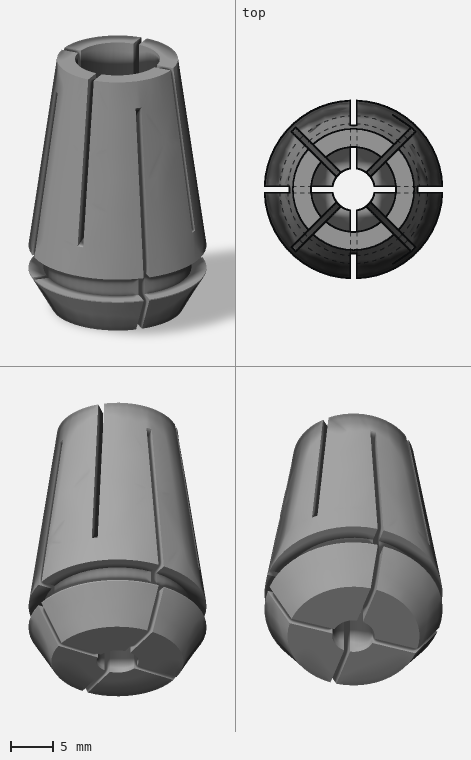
import cadquery as cq
import math

length = 31.5
max_diameter = 21.0
max_radius = max_diameter / 2
taper_angle = 8.0
groove_radius = 8.73
groove_bottom = 4.82
groove_top = 7.65
nose_angle = 30.0
nose_land = 0.13

clamp_radius = 2.5
relief_radius = 5.0
clamp_length = 18.9

slot_width = 0.72
slot_overcut = 0.3
slot_reach = max_radius + slot_overcut
saw_radius = 13.6
nose_saw_offset = 15.85
nose_saw_height = 17.42
back_saw_offset = 12.98
back_saw_height = 24.5
nose_slot_angles = (0.0, 90.0)
back_slot_angles = (45.0, 135.0)


def make_body():
    """Revolve the tapered shank, the groove and the nose cone."""
    top_radius = max_radius - (length - groove_top) * math.tan(math.radians(taper_angle))
    nose_cone_top = groove_bottom - nose_land
    nose_radius = max_radius - nose_cone_top * math.tan(math.radians(nose_angle))
    profile = (
        cq.Workplane("XZ")
        .moveTo(0, 0)
        .lineTo(nose_radius, 0)
        .lineTo(max_radius, nose_cone_top)
        .lineTo(max_radius, groove_bottom)
        .lineTo(groove_radius, groove_bottom)
        .lineTo(groove_radius, groove_top)
        .lineTo(max_radius, groove_top)
        .lineTo(top_radius, length)
        .lineTo(0, length)
        .close()
    )
    return profile.revolve(360, (0, 0, 0), (0, 1, 0))


def make_bore():
    """Stepped through hole along the axis."""
    clamp = cq.Workplane("XY").circle(clamp_radius).extrude(length)
    relief = cq.Workplane("XY").workplane(offset=clamp_length).circle(relief_radius)
    return clamp.union(relief.extrude(length - clamp_length))


def make_slot(saw_offset, saw_height, open_end, angle):
    """Slot right across the part, open at one end and closed by a saw arc on either side of the bore.

    The saw centres lie at saw_height, saw_offset from the part axis on both sides.
    The slot runs out through the end face at the height open_end.
    """
    closing_side = math.copysign(1, saw_height - open_end)

    def saw_edge(distance):
        rise = math.sqrt(saw_radius**2 - (saw_offset - distance) ** 2)
        return distance, saw_height + closing_side * rise

    inner_x, inner_z = saw_edge(clamp_radius)
    middle_x, middle_z = saw_edge((clamp_radius + slot_reach) / 2)
    outer_x, outer_z = saw_edge(slot_reach)
    profile = (
        cq.Workplane("XZ")
        .moveTo(-outer_x, open_end)
        .lineTo(-outer_x, outer_z)
        .threePointArc((-middle_x, middle_z), (-inner_x, inner_z))
        .lineTo(inner_x, inner_z)
        .threePointArc((middle_x, middle_z), (outer_x, outer_z))
        .lineTo(outer_x, open_end)
        .close()
    )
    slot = profile.extrude(slot_width / 2, both=True)
    return slot.rotate((0, 0, 0), (0, 0, 1), angle)


result = make_body().cut(make_bore())
for slot_angle in nose_slot_angles:
    result = result.cut(make_slot(nose_saw_offset, nose_saw_height, 0, slot_angle))
for slot_angle in back_slot_angles:
    result = result.cut(make_slot(back_saw_offset, back_saw_height, length, slot_angle))